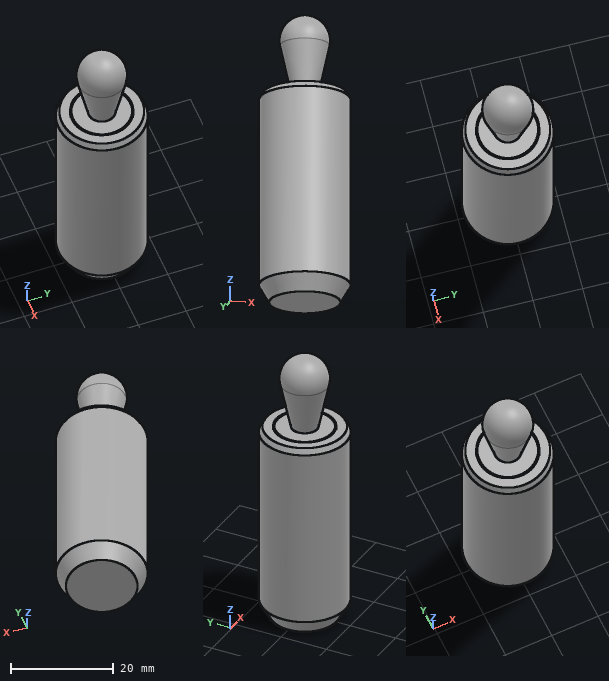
import cadquery as cq
import math

total_height = 58.8
housing_radius = 9.0
housing_height = 42.8

top_chamfer_height = 1.25
bottom_chamfer_height = 3.45
chamfer_angle = math.radians(30)

recess_radius = 6.2
recess_depth = 2.95
disc_clearance = 0.25

ball_radius = 5.0
neck_radius = 2.7

recess_floor = housing_height - recess_depth
disc_radius = recess_radius - disc_clearance
ball_center = total_height - ball_radius


def make_housing():
    """Round body with a cone at each end and a blind recess in the top."""
    top_radius = housing_radius - top_chamfer_height * math.tan(chamfer_angle)
    bottom_radius = housing_radius - bottom_chamfer_height * math.tan(chamfer_angle)
    return (
        cq.Workplane("XZ")
        .moveTo(0, 0)
        .lineTo(bottom_radius, 0)
        .lineTo(housing_radius, bottom_chamfer_height)
        .lineTo(housing_radius, housing_height - top_chamfer_height)
        .lineTo(top_radius, housing_height)
        .lineTo(recess_radius, housing_height)
        .lineTo(recess_radius, recess_floor)
        .lineTo(0, recess_floor)
        .close()
        .revolve(360, (0, 0), (0, 1))
    )


def make_disc():
    """Disc on the recess floor, flush with the housing top, with a hole for the pin."""
    return (
        cq.Workplane("XY", origin=(0, 0, recess_floor))
        .circle(disc_radius)
        .circle(neck_radius)
        .extrude(recess_depth)
    )


def make_pin():
    """Straight shank in the disc, then a cone that runs tangent into the ball."""
    ball_rise = ball_center - housing_height
    neck_distance = math.hypot(neck_radius, ball_rise)
    taper = math.asin(ball_radius / neck_distance) - math.atan2(neck_radius, ball_rise)
    tangent_radius = ball_radius * math.cos(taper)
    tangent_height = ball_center - ball_radius * math.sin(taper)
    return (
        cq.Workplane("XZ")
        .moveTo(0, recess_floor)
        .lineTo(neck_radius, recess_floor)
        .lineTo(neck_radius, housing_height)
        .lineTo(tangent_radius, tangent_height)
        .threePointArc((ball_radius, ball_center), (0, total_height))
        .close()
        .revolve(360, (0, 0), (0, 1))
    )


housing = make_housing()
disc = make_disc()
pin = make_pin()

result = cq.Compound.makeCompound([housing.val(), disc.val(), pin.val()])